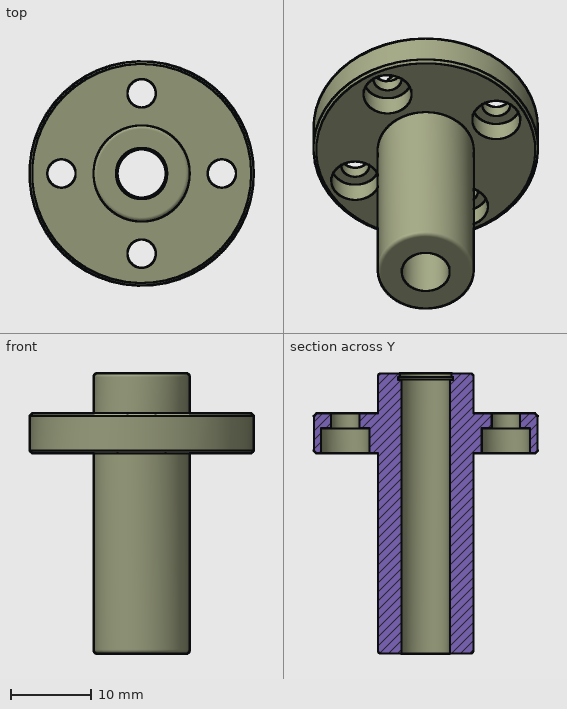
import cadquery as cq

total_height = 35.0
flange_diameter = 28.0
body_diameter = 12.0

flange_drop = 5.0
flange_thickness = 5.0
flange_chamfer = 0.35
body_end_fillet = 0.5

bore_diameter = 6.0
mouth_diameter = 6.4
groove_diameter = 6.8
mouth_depth = 0.5
groove_floor_depth = 0.8

mount_hole_count = 4
mount_hole_diameter = 3.5
mount_circle_diameter = 20.0
counterbore_diameter = 6.0
counterbore_depth = 3.1

flange_top = total_height - flange_drop
flange_bottom = flange_top - flange_thickness


def cylinder(diameter, bottom, top):
    """Upright cylinder on the Z axis between two heights."""
    return cq.Workplane("XY").workplane(offset=bottom).circle(diameter / 2).extrude(top - bottom)


def make_body():
    """Long sleeve with both outer end edges rounded."""
    return cylinder(body_diameter, 0, total_height).edges().fillet(body_end_fillet)


def make_flange():
    """Round flange with both rim edges chamfered."""
    return cylinder(flange_diameter, flange_bottom, flange_top).edges().chamfer(flange_chamfer)


def make_bore():
    """Cutter for the through bore, the groove and the mouth."""
    groove_floor = total_height - groove_floor_depth
    groove_roof = total_height - mouth_depth
    through = cylinder(bore_diameter, 0, total_height)
    groove = cylinder(groove_diameter, groove_floor, groove_roof)
    mouth = cylinder(mouth_diameter, groove_floor, total_height)
    return through.union(groove).union(mouth)


def hole_ring(diameter, depth):
    """Ring of evenly spaced pins rising from the underside of the flange."""
    return (
        cq.Workplane("XY")
        .workplane(offset=flange_bottom)
        .polarArray(mount_circle_diameter / 2, 0, 360, mount_hole_count)
        .circle(diameter / 2)
        .extrude(depth)
    )


def make_mount_holes():
    """Cutter for the flange holes and their counterbores."""
    holes = hole_ring(mount_hole_diameter, flange_thickness)
    counterbores = hole_ring(counterbore_diameter, counterbore_depth)
    return holes.union(counterbores)


result = make_body().union(make_flange()).cut(make_bore()).cut(make_mount_holes())